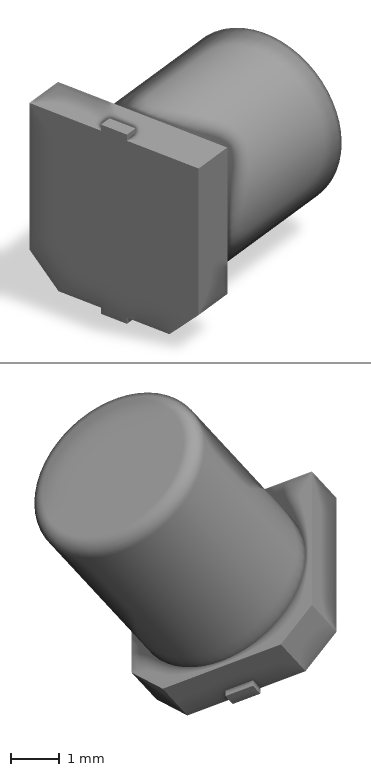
import cadquery as cq

total_length = 5.41
base_side = 4.3
total_height = 4.6

base_thickness = 1.0
corner_chamfer = 0.74

can_diameter = 4.005
can_edge_radius = 0.305

tab_width = 0.66
tab_depth = 0.3


def make_base():
    """Square plate from Y = 0 toward +Y, with its two lower corners cut off."""
    plate = cq.Workplane("XY").box(
        base_side, base_thickness, base_side, centered=(True, False, True)
    )
    lower_corners = plate.faces("<Z").edges("|Y")
    return lower_corners.chamfer(corner_chamfer)


def make_can():
    """Cylinder along Y from the base front to the rounded far end."""
    can = cq.Workplane("XZ").circle(can_diameter / 2).extrude(-total_length)
    return can.faces(">Y").edges().fillet(can_edge_radius)


def make_tabs():
    """One bar through the base, leaving a tab standing out above and below."""
    return cq.Workplane("XY").box(
        tab_width, tab_depth, total_height, centered=(True, False, True)
    )


result = make_base().union(make_can()).union(make_tabs())